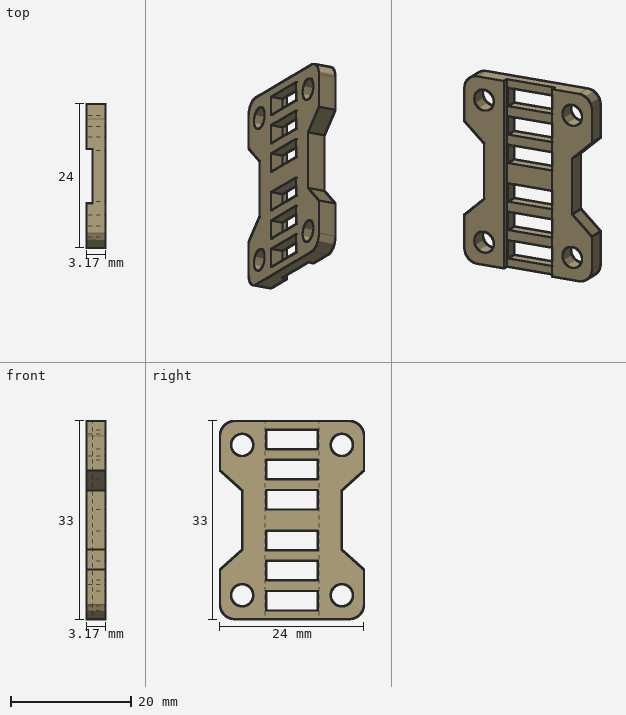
import cadquery as cq

thickness = 3.17
width = 24.0
height = 33.0
corner_radius = 2.5

waist_width = 16.57
waist_straight_height = 9.8
waist_mouth_height = 16.5

hole_diameter = 3.65
hole_spacing_y = 16.57
hole_spacing_z = 25.0

channel_width = 9.0
channel_depth = 1.0

window_width = 8.5
window_height = 3.2
window_pitch = 5.0
windows_per_group = 3
first_window_z = 3.4

front_x = -thickness / 2


def face_plane():
    """Workplane on the mid-plane of the plate: local x is Y, local y is Z."""
    return cq.Workplane("YZ")


def make_plate():
    plate = face_plane().rect(width, height).extrude(thickness / 2, both=True)
    return plate.edges("|X").fillet(corner_radius)


def make_waist_notch(side):
    """Trapezoidal notch on the +Y (side=1) or -Y (side=-1) edge."""
    outer_y = side * width / 2
    inner_y = side * waist_width / 2
    half_mouth = waist_mouth_height / 2
    half_straight = waist_straight_height / 2
    outline = [
        (outer_y, half_mouth),
        (inner_y, half_straight),
        (inner_y, -half_straight),
        (outer_y, -half_mouth),
    ]
    return face_plane().polyline(outline).close().extrude(thickness, both=True)


def make_mounting_holes():
    return (
        face_plane()
        .rect(hole_spacing_y, hole_spacing_z, forConstruction=True)
        .vertices()
        .circle(hole_diameter / 2)
        .extrude(thickness, both=True)
    )


def make_channel():
    channel_center_x = front_x + channel_depth / 2
    channel = cq.Workplane("XY").box(channel_depth, channel_width, height)
    return channel.translate((channel_center_x, 0, 0))


def make_windows():
    upper = [first_window_z + i * window_pitch for i in range(windows_per_group)]
    centers = [(0, side * z) for z in upper for side in (1, -1)]
    return (
        face_plane()
        .pushPoints(centers)
        .rect(window_width, window_height)
        .extrude(thickness, both=True)
    )


result = make_plate()
for side in (1, -1):
    result = result.cut(make_waist_notch(side))
result = result.cut(make_mounting_holes())
result = result.cut(make_channel())
result = result.cut(make_windows())